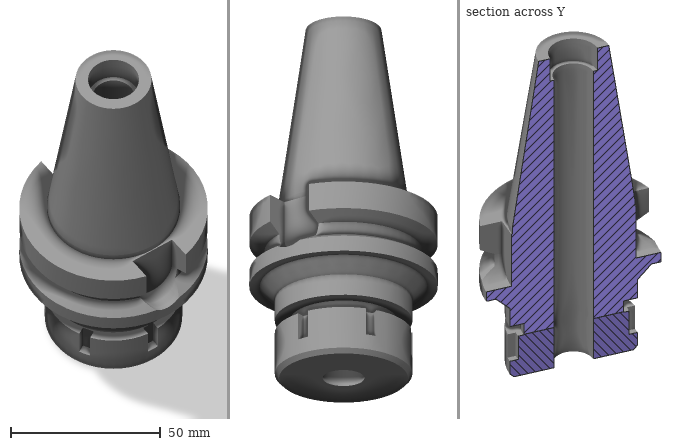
import cadquery as cq
import math


taper_ratio = 7 / 24
gauge_radius = 44.45 / 2
taper_length = 65.4
taper_tip_radius = gauge_radius - taper_length * taper_ratio / 2

flange_radius = 63 / 2
flange_top_z = -2
flange_thickness = 25
flange_bottom_z = flange_top_z - flange_thickness
groove_centre_z = -16.6
groove_floor_radius = 53 / 2
groove_floor_width = 4.2
groove_wall_angle = 30
groove_depth = flange_radius - groove_floor_radius
groove_wall_height = groove_depth * math.tan(math.radians(groove_wall_angle))
groove_floor_top_z = groove_centre_z + groove_floor_width / 2
groove_floor_bottom_z = groove_centre_z - groove_floor_width / 2

drive_slot_width = 16.1
drive_slot_floor_x = 22.5
drive_slot_bottom_z = -23

projection = 60
nose_bottom_z = -projection
collar_radius = 23
collar_cone_height = 5
collar_cone_radius = collar_radius + collar_cone_height
collar_top_z = flange_bottom_z - collar_cone_height
collar_height = 7.4
collar_bottom_z = collar_top_z - collar_height
neck_radius = 18

nut_radius = collar_radius
nut_height = 16.2
nut_top_z = nose_bottom_z + nut_height
nut_chamfer = 1.5
wrench_slot_count = 6
wrench_slot_width = 4
wrench_slot_floor_radius = 20
wrench_slot_height = 9.4

bore_radius = 7
tip_bore_radius = 17 / 2
tip_bore_depth = 9


def make_holder_blank():
    """Shank, flange, collar and neck with the stepped bore, turned about Z."""
    profile = [
        (tip_bore_radius, taper_length),
        (taper_tip_radius, taper_length),
        (gauge_radius, 0),
        (gauge_radius, flange_top_z),
        (flange_radius, flange_top_z),
        (flange_radius, groove_floor_top_z + groove_wall_height),
        (groove_floor_radius, groove_floor_top_z),
        (groove_floor_radius, groove_floor_bottom_z),
        (flange_radius, groove_floor_bottom_z - groove_wall_height),
        (flange_radius, flange_bottom_z),
        (collar_cone_radius, flange_bottom_z),
        (collar_radius, collar_top_z),
        (collar_radius, collar_bottom_z),
        (neck_radius, collar_bottom_z),
        (neck_radius, nut_top_z),
        (bore_radius, nut_top_z),
        (bore_radius, taper_length - tip_bore_depth),
        (tip_bore_radius, taper_length - tip_bore_depth),
    ]
    return cq.Workplane("XZ").polyline(profile).close().revolve(360, (0, 0), (0, 1))


def make_drive_slot(side):
    """Round-bottomed slot cutter, open at the flange top, on the +X or -X side."""
    half_width = drive_slot_width / 2
    arc_centre_z = drive_slot_bottom_z + half_width
    return (
        cq.Workplane("YZ", origin=(side * drive_slot_floor_x, 0, 0))
        .moveTo(-half_width, flange_top_z)
        .lineTo(-half_width, arc_centre_z)
        .threePointArc((0, drive_slot_bottom_z), (half_width, arc_centre_z))
        .lineTo(half_width, flange_top_z)
        .close()
        .extrude(side * flange_radius)
    )


def make_holder():
    body = make_holder_blank()
    for side in (-1, 1):
        body = body.cut(make_drive_slot(side))
    return body


def make_wrench_slot(angle):
    """Flat-floored slot cutter, open at the top of the nut, at an angle about Z."""
    return (
        cq.Workplane("XY")
        .box(nut_radius, wrench_slot_width, wrench_slot_height, centered=(False, True, False))
        .translate((wrench_slot_floor_radius, 0, nut_top_z - wrench_slot_height))
        .rotate((0, 0, 0), (0, 0, 1), angle)
    )


def make_nut():
    body = (
        cq.Workplane("XY", origin=(0, 0, nose_bottom_z))
        .circle(nut_radius)
        .extrude(nut_height)
        .faces("<Z")
        .chamfer(nut_chamfer)
        .cut(cq.Workplane("XY", origin=(0, 0, nose_bottom_z)).circle(bore_radius).extrude(nut_height))
    )
    for index in range(wrench_slot_count):
        body = body.cut(make_wrench_slot(index * 360 / wrench_slot_count))
    return body


holder = make_holder()
nut = make_nut()

result = cq.Compound.makeCompound([holder.val(), nut.val()])